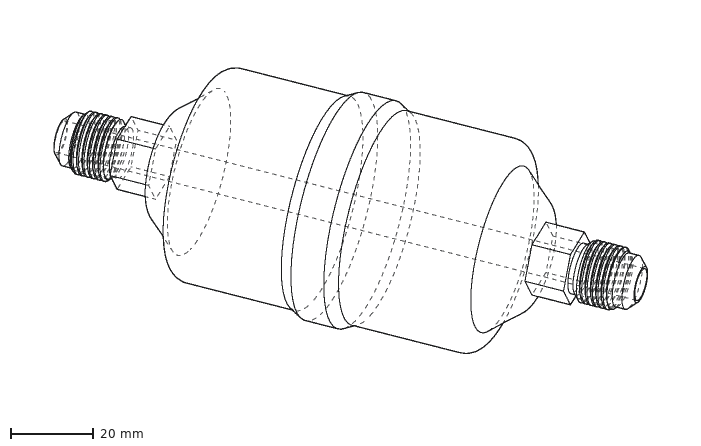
import cadquery as cq
import math

overall_length = 152.0
end_x = -overall_length / 2
bore_diameter = 8.0

shell_radius = 54.0 / 2
shell_end_x = -39.75
shell_rim_fillet = 4.0
band_radius = 57.4 / 2
band_half_width = 4.3
band_foot_half_width = 7.5
dome_base_radius = 20.95
dome_slope = math.radians(40.0)
dome_end_x = -49.3
dome_fillet = 5.0

hex_across_flats = 16.0
hex_end_x = -59.4
hex_turn = 30.0
neck_radius = 12.74 / 2
nose_radius = 13.6 / 2
flare_length = 2.25
nose_end_x = -71.2

thread_radius = 15.88 / 2
thread_pitch = 25.4 / 18
thread_depth = 0.85
thread_start_x = nose_end_x
thread_stop_x = -60.75
thread_flank_angle = math.radians(30.0)
thread_phase = 90.0
cutter_clearance = 0.3


def revolve_about_x(outline):
    """Turn a closed (x, radius) outline around the X axis."""
    return outline.revolve(360, (0, 0, 0), (1, 0, 0))


def make_can():
    """Both domed shells and the band between them."""
    dome_tip_radius = dome_base_radius - (shell_end_x - dome_end_x) * math.tan(dome_slope)
    fillet_sweep = math.pi / 2 - dome_slope
    fillet_setback = dome_fillet * math.tan(fillet_sweep / 2)
    face_radius = dome_tip_radius - fillet_setback

    def dome_fillet_point(angle):
        """Point on the dome fillet, the given angle on from the flat end face."""
        return (
            dome_end_x + dome_fillet * (1 - math.cos(angle)),
            face_radius + dome_fillet * math.sin(angle),
        )

    rim_arc_inset = shell_rim_fillet * (1 - math.sqrt(0.5))
    half_outline = (
        cq.Workplane("XY")
        .moveTo(dome_end_x, 0)
        .lineTo(dome_end_x, face_radius)
        .threePointArc(dome_fillet_point(fillet_sweep / 2), dome_fillet_point(fillet_sweep))
        .lineTo(shell_end_x, dome_base_radius)
        .lineTo(shell_end_x, shell_radius - shell_rim_fillet)
        .threePointArc(
            (shell_end_x + rim_arc_inset, shell_radius - rim_arc_inset),
            (shell_end_x + shell_rim_fillet, shell_radius),
        )
        .lineTo(-band_foot_half_width, shell_radius)
        .lineTo(-band_half_width, band_radius)
        .lineTo(0, band_radius)
        .lineTo(0, 0)
        .close()
    )
    half_can = revolve_about_x(half_outline)
    return half_can.union(half_can.mirror("YZ")).clean()


def make_hex():
    """Wrench hexagon with flats facing up and down."""
    return (
        cq.Workplane("YZ", origin=(hex_end_x, 0, 0))
        .polygon(6, hex_across_flats, circumscribed=True)
        .extrude(dome_end_x - hex_end_x)
        .rotate((0, 0, 0), (1, 0, 0), hex_turn)
    )


def make_spigot():
    """Turned blank of the flare seat, nose, thread and neck."""
    front_rise = thread_radius - nose_radius
    back_rise = thread_radius - neck_radius
    outline = cq.Workplane("XY").polyline([
        (end_x, 0),
        (end_x, nose_radius - flare_length),
        (end_x + flare_length, nose_radius),
        (nose_end_x, nose_radius),
        (thread_start_x + front_rise, thread_radius),
        (thread_stop_x - back_rise, thread_radius),
        (thread_stop_x, neck_radius),
        (hex_end_x, neck_radius),
        (hex_end_x, 0),
    ]).close()
    return revolve_about_x(outline)


def make_thread_groove():
    """Helical V groove that cuts the thread and runs out past both of its ends."""
    root_radius = thread_radius - thread_depth
    top_radius = thread_radius + cutter_clearance
    half_width = (top_radius - root_radius) * math.tan(thread_flank_angle)
    length = thread_stop_x - thread_start_x
    corners = [(root_radius, 0), (top_radius, -half_width), (top_radius, half_width)]
    helices = [
        cq.Wire.makeHelix(thread_pitch, length, radius).translate(cq.Vector(0, 0, shift))
        for radius, shift in corners
    ]
    sides = [
        cq.Face.makeRuledSurface(helices[index - 1], helices[index])
        for index in range(len(helices))
    ]
    ends = [
        cq.Face.makeFromWires(
            cq.Wire.makePolygon([helix.positionAt(end) for helix in helices], close=True)
        )
        for end in (0, 1)
    ]
    groove = cq.Solid.makeSolid(cq.Shell.makeShell(sides + ends))
    return (
        cq.Workplane(obj=groove)
        .rotate((0, 0, 0), (0, 0, 1), thread_phase)
        .rotate((0, 0, 0), (0, 1, 0), 90)
        .translate((thread_start_x, 0, 0))
    )


def make_end_fitting():
    """Hexagon and threaded spigot on the -X end."""
    spigot = make_spigot().cut(make_thread_groove())
    return make_hex().union(spigot)


fitting = make_end_fitting()
opposite_fitting = fitting.rotate((0, 0, 0), (0, 0, 1), 180)
bore = cq.Workplane("YZ", origin=(end_x, 0, 0)).circle(bore_diameter / 2).extrude(overall_length)
result = make_can().union(fitting).union(opposite_fitting).cut(bore)